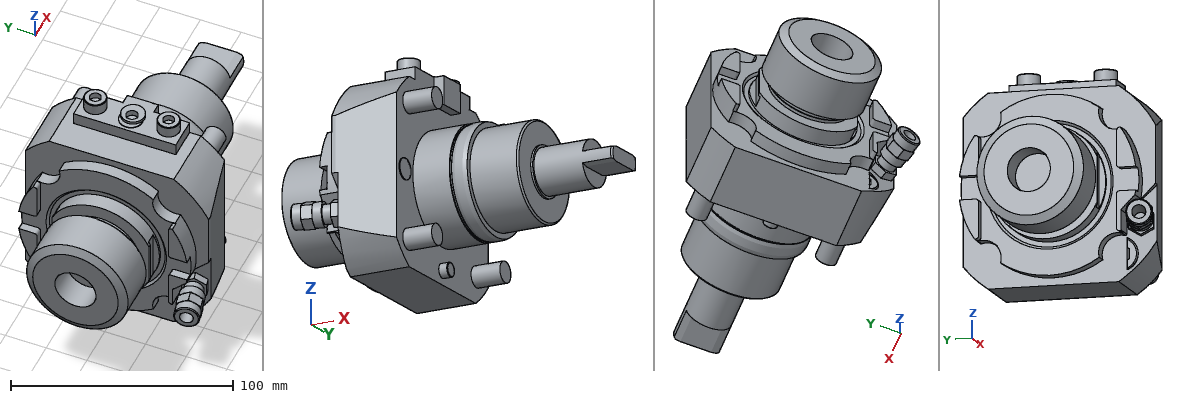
import cadquery as cq
import math


nut_end = 22.5
ring_front = 34.8
block_front = 40.8
block_back = 71.1
spigot_end = 123.6
shaft_end = 149.5
overall_length = 165.0

nut_radius = 25.0
nut_chamfer_length = 2.1
nut_chamfer_height = 4.0
spindle_bore_radius = 10.0
spindle_bore_depth = 13.5
neck_radius = 20.0
neck_end = 26.5
collar_front = 28.4
undercut_radius = 19.5
collar_radius = 26.0
collar_lip_flat = 23.8
collar_flat = 23.0
collar_lip_length = 1.5

ring_radius = 41.6
recess_radius = 29.5
recess_chamfer = 1.2
tab_front = 30.9
tab_inner_y = 32.2
tab_slot_half_width = 5.5
tab_corner_radius = 1.5

hex_sides = 6
bolt_y = 31.4
bolt_z = 32.4
bolt_positions = [(y, z) for y in (-bolt_y, bolt_y) for z in (-bolt_z, bolt_z)]
bolt_radius = 5.1
bolt_end = 86.0
scallop_radius = 8.6
bolt_head_radius = 8.0
bolt_head_front = 41.5
bolt_head_back = 44.5
bolt_head_chamfer = 0.7
bolt_socket_flats = 8.0
bolt_socket_depth = 4.0

block_half_height = 45.0
block_far_y = 42.3
block_near_y = -47.7
block_corner_radius = 54.5
taper_start = 42.9

spot_edge_y = -34.3
spot_angle = 13.0
spot_wall_offset = 48.5
spot_margin = 19.8

fitting_tip = (20.1, -45.7, -17.8)
fitting_radius = 6.0
fitting_hex_radius = 6.6
fitting_neck_radius = 4.6
fitting_bore_radius = 3.1
fitting_bore_depth = 17.3
fitting_chamfer = 0.5
nut_hex_start = 4.8
nut_hex_end = 10.0
sleeve_end = 14.5
base_hex_start = 18.8
base_hex_end = 24.8

key_front = 55.6
key_half_width = 25.1
key_top = 51.2
tongue_end = 76.1
tongue_half_width = 7.6
tongue_bottom = 37.5

key_screw_x = 63.9
key_screw_y = 18.0
key_screw_radius = 5.3
key_screw_top = 57.0
key_screw_chamfer = 0.3
key_socket_radius = 2.6
key_socket_depth = 3.0
key_socket_point = 1.5
plug_radius = 5.6
plug_top = 52.8
plug_lower_top = 51.5
plug_upper_x = 65.0
plug_lower_x = 62.7
plug_socket_radius = 2.8

spigot_radius = 27.2
groove_start = 90.0
groove_end = 90.8
groove_depth = 0.7
band_end = 98.9
band_chamfer_length = 2.0
band_chamfer_height = 0.5
pilot_radius = 24.1
pilot_chamfer = 0.8
boss_radius = 12.4
boss_end = 124.6
shaft_radius = 11.2
tang_half_thickness = 3.6
tang_bevel_z = 2.8
tang_flat_y = 7.5
tang_bevel_y = 10.5
tang_end_chamfer = 0.8

plug_face_y = -34.8
plug_face_radius = 5.1
plug_face_height = 0.5
pin_z = -38.5
pin_radius = 3.5
pin_end = 75.6
pin_chamfer = 0.3


def disc_x(radius, start, end, y=0, z=0):
    """Cylinder parallel to X between two stations."""
    return cq.Workplane("YZ", origin=(start, y, z)).circle(radius).extrude(end - start)


def disc_z(radius, x, y, bottom, top):
    """Upright cylinder between two heights."""
    return cq.Workplane("XY", origin=(x, y, bottom)).circle(radius).extrude(top - bottom)


def box(x0, x1, y0, y1, z0, z1):
    """Box given by its limits along each axis."""
    return cq.Workplane("XY").box(x1 - x0, y1 - y0, z1 - z0, centered=False).translate((x0, y0, z0))


def revolve_x(points):
    """Solid of revolution about X from (x, radius) points."""
    return cq.Workplane("XY").polyline(points).close().revolve(360, (0, 0, 0), (1, 0, 0))


def make_nose():
    """Clamping nut, neck and collar; the front of the collar has two flats."""
    nose = revolve_x([
        (0, 0),
        (0, nut_radius - nut_chamfer_height),
        (nut_chamfer_length, nut_radius),
        (nut_end, nut_radius),
        (nut_end, neck_radius),
        (neck_end, neck_radius),
        (neck_end, undercut_radius),
        (collar_front, undercut_radius),
        (collar_front, 0),
    ])
    lip_back = collar_front + collar_lip_length
    for start, end, flat in (
        (collar_front, lip_back, collar_lip_flat),
        (lip_back, ring_front, collar_flat),
    ):
        flats = box(start, end, -flat, flat, -collar_radius, collar_radius)
        nose = nose.union(disc_x(collar_radius, start, end).intersect(flats))
    return nose.union(disc_x(collar_radius, ring_front, block_front))


def make_ring():
    """Scalloped ring with a central recess and four driving tabs."""
    ring = disc_x(ring_radius, ring_front, block_front)
    recess = revolve_x([
        (ring_front, 0),
        (ring_front, recess_radius),
        (ring_front + recess_chamfer, recess_radius - recess_chamfer),
        (ring_front + recess_chamfer, 0),
    ])
    ring = ring.cut(recess)

    tab_top_z = bolt_z - scallop_radius
    tab_envelope = disc_x(ring_radius, tab_front, ring_front)
    for side_y in (-1, 1):
        for side_z in (-1, 1):
            tab = (
                cq.Workplane("YZ", origin=(tab_front, 0, 0))
                .center(
                    side_y * (tab_inner_y + ring_radius) / 2,
                    side_z * (tab_slot_half_width + tab_top_z) / 2,
                )
                .rect(ring_radius - tab_inner_y, tab_top_z - tab_slot_half_width)
                .extrude(ring_front - tab_front)
                .edges("|X and " + ("<Y" if side_y > 0 else ">Y"))
                .fillet(tab_corner_radius)
            )
            ring = ring.union(tab.intersect(tab_envelope))

    for y, z in bolt_positions:
        ring = ring.cut(disc_x(scallop_radius, tab_front, block_front, y, z))
    return ring


def make_block():
    """Block with round corners and a side that tapers towards the spigot."""
    outline = (
        cq.Workplane("XY", origin=(0, 0, -block_half_height))
        .moveTo(block_front, block_far_y)
        .lineTo(block_back, block_far_y)
        .lineTo(block_back, -block_far_y)
        .lineTo(taper_start, block_near_y)
        .lineTo(block_front, block_near_y)
        .close()
        .extrude(2 * block_half_height)
    )
    return outline.intersect(disc_x(block_corner_radius, block_front, block_back))


def make_spot_cut():
    """Clearance in front of the inclined fitting face, closed above by a 45 degree wall."""
    outer_y = block_near_y - spot_margin
    bottom_z = -block_half_height - spot_margin
    depth = math.tan(math.radians(spot_angle)) * (spot_edge_y - outer_y)
    wedge = (
        cq.Workplane("XY", origin=(0, 0, bottom_z))
        .moveTo(tab_front, spot_edge_y)
        .lineTo(block_front, spot_edge_y)
        .lineTo(block_front + depth, outer_y)
        .lineTo(tab_front, outer_y)
        .close()
        .extrude(2 * block_half_height + spot_margin)
    )
    below_wall = (
        cq.Workplane("YZ", origin=(tab_front, 0, 0))
        .moveTo(spot_edge_y, bottom_z)
        .lineTo(spot_edge_y, -spot_edge_y - spot_wall_offset)
        .lineTo(outer_y, -outer_y - spot_wall_offset)
        .lineTo(outer_y, bottom_z)
        .close()
        .extrude(block_back - tab_front)
    )
    return wedge.intersect(below_wall)


def add_exposed_bolt_head(body):
    """Part of one socket head that is laid open by the inclined face."""
    position = (-bolt_y, -bolt_z)
    open_side = box(
        block_front, block_back, -block_corner_radius, spot_edge_y, -block_corner_radius, 0
    )
    head = disc_x(bolt_head_radius, bolt_head_front, bolt_head_back, *position)
    head = head.faces("<X").chamfer(bolt_head_chamfer)
    socket = (
        cq.Workplane("YZ", origin=(bolt_head_front, *position))
        .transformed(rotate=(0, 0, 180 / hex_sides))
        .polygon(hex_sides, bolt_socket_flats / math.cos(math.pi / hex_sides))
        .extrude(bolt_socket_depth)
    )
    pocket = disc_x(bolt_head_radius, block_front, bolt_head_front + bolt_head_chamfer, *position)
    body = body.cut(pocket.intersect(open_side))
    body = body.union(head.intersect(open_side))
    return body.cut(socket.intersect(open_side))


def make_fitting():
    """Coolant fitting, normal to the inclined face."""
    angle = math.radians(spot_angle)
    plane = cq.Plane(
        origin=fitting_tip,
        xDir=(0, 0, 1),
        normal=(math.cos(angle), math.sin(angle), 0),
    )
    tip = cq.Workplane(plane)
    towards_tip = cq.selectors.DirectionMinMaxSelector(plane.zDir, False)
    fitting = tip.circle(fitting_radius).extrude(nut_hex_start).faces(towards_tip).chamfer(fitting_chamfer)
    for start, end in ((nut_hex_start, nut_hex_end), (base_hex_start, base_hex_end)):
        hexagon = tip.workplane(offset=start).polygon(hex_sides, 2 * fitting_hex_radius).extrude(end - start)
        fitting = fitting.union(hexagon)
    sleeve = tip.workplane(offset=nut_hex_end).circle(fitting_radius).extrude(sleeve_end - nut_hex_end)
    neck = tip.workplane(offset=sleeve_end).circle(fitting_neck_radius).extrude(base_hex_end - sleeve_end)
    fitting = fitting.union(sleeve).union(neck)
    return fitting.cut(tip.circle(fitting_bore_radius).extrude(fitting_bore_depth))


def make_key():
    """Key plate with a rear tongue, two socket head screws and a plug."""
    key = box(key_front, block_back, -key_half_width, key_half_width, block_half_height, key_top)
    key = key.union(
        box(block_back, tongue_end, -tongue_half_width, tongue_half_width, tongue_bottom, key_top)
    )
    for side in (-1, 1):
        y = side * key_screw_y
        head = disc_z(key_screw_radius, key_screw_x, y, key_top, key_screw_top)
        head = head.faces(">Z").chamfer(key_screw_chamfer)
        socket = disc_z(key_socket_radius, key_screw_x, y, key_screw_top - key_socket_depth, key_screw_top)
        point = cq.Workplane(
            cq.Solid.makeCone(
                0,
                key_socket_radius,
                key_socket_point,
                pnt=cq.Vector(key_screw_x, y, key_screw_top - key_socket_depth - key_socket_point),
            )
        )
        key = key.union(head.cut(socket).cut(point))

    key = key.union(disc_z(plug_radius, plug_lower_x, 0, key_top, plug_lower_top))
    key = key.union(disc_z(plug_radius, plug_upper_x, 0, key_top, plug_top))
    return key.cut(disc_z(plug_socket_radius, key_screw_x, 0, plug_top - key_socket_depth, plug_top))


def make_spigot():
    """Stepped spigot behind the block, starting on its rear face."""
    band_edge = spigot_radius - band_chamfer_height
    return revolve_x([
        (block_back, 0),
        (block_back, spigot_radius),
        (groove_start, spigot_radius),
        (groove_start, spigot_radius - groove_depth),
        (groove_end, spigot_radius - groove_depth),
        (groove_end, band_edge),
        (groove_end + band_chamfer_length, spigot_radius),
        (band_end - band_chamfer_length, spigot_radius),
        (band_end, band_edge),
        (band_end, pilot_radius),
        (spigot_end - pilot_chamfer, pilot_radius),
        (spigot_end, pilot_radius - pilot_chamfer),
        (spigot_end, boss_radius),
        (boss_end, boss_radius),
        (boss_end, shaft_radius),
        (shaft_end, shaft_radius),
        (shaft_end, 0),
    ])


def make_tang():
    """Flat drive tang with bevelled long edges and a chamfered round end."""
    upper_edge = [
        (tang_flat_y, tang_half_thickness),
        (tang_bevel_y, tang_bevel_z),
        (shaft_radius, tang_bevel_z),
    ]
    near_half = upper_edge + [(y, -z) for y, z in reversed(upper_edge)]
    far_half = [(-y, -z) for y, z in near_half]
    flat_bar = (
        cq.Workplane("YZ", origin=(shaft_end, 0, 0))
        .polyline(near_half + far_half)
        .close()
        .extrude(overall_length - shaft_end)
    )
    round_end = disc_x(shaft_radius, shaft_end, overall_length).faces(">X").chamfer(tang_end_chamfer)
    return flat_bar.intersect(round_end)


def make_rear_details():
    """Bolt shanks, locating pin and sealing plug behind the block."""
    details = disc_x(pin_radius, block_back, pin_end, 0, pin_z).faces(">X").chamfer(pin_chamfer)
    details = details.union(
        disc_x(plug_face_radius, block_back, block_back + plug_face_height, plug_face_y, 0)
    )
    for y, z in bolt_positions:
        details = details.union(disc_x(bolt_radius, block_back, bolt_end, y, z))
    return details


body = make_block().union(make_ring()).cut(make_spot_cut())
body = add_exposed_bolt_head(body)
for feature in (
    make_nose(),
    make_fitting(),
    make_key(),
    make_spigot(),
    make_tang(),
    make_rear_details(),
):
    body = body.union(feature)

result = body.cut(disc_x(spindle_bore_radius, 0, spindle_bore_depth))